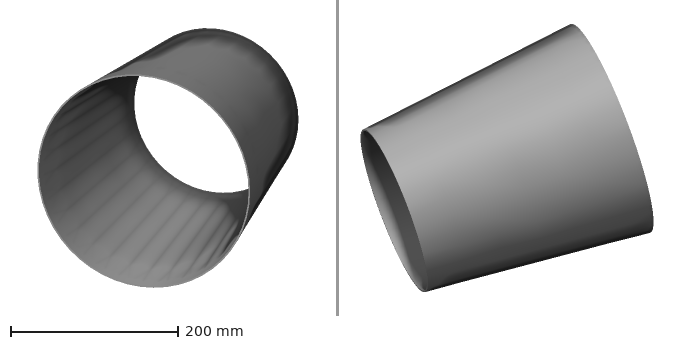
import cadquery as cq

LENGTH = 280.0
WIDE_DIAMETER = 267.0
NARROW_DIAMETER = 208.0
WALL = 2.0


def conical_shell():
    """Revolve the slanted wall section about the Y axis."""
    wide_radius = WIDE_DIAMETER / 2
    narrow_radius = NARROW_DIAMETER / 2
    wall_section = (
        cq.Workplane("XY")
        .moveTo(wide_radius - WALL, 0)
        .lineTo(wide_radius, 0)
        .lineTo(narrow_radius, LENGTH)
        .lineTo(narrow_radius - WALL, LENGTH)
        .close()
    )
    return wall_section.revolve(360, (0, 0, 0), (0, 1, 0))


result = conical_shell()